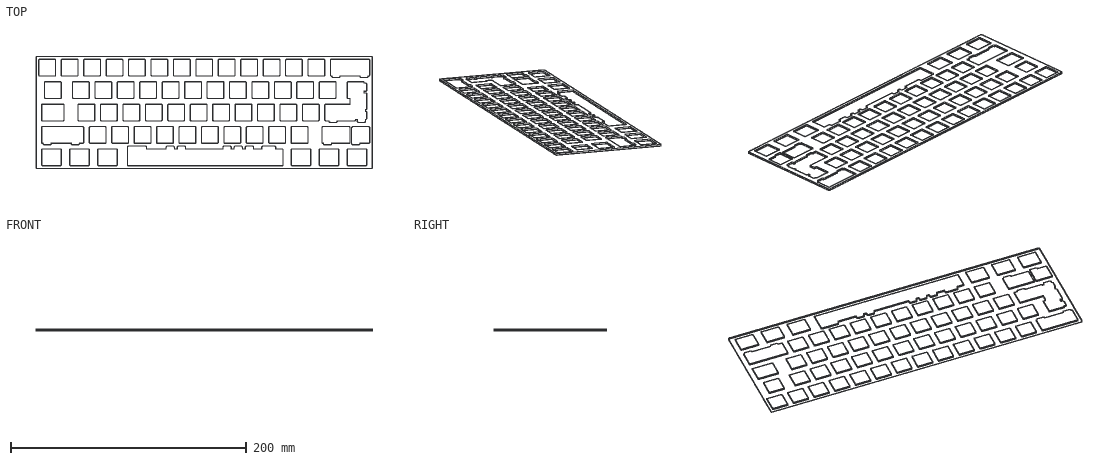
import cadquery as cq

length = 285.8
columns = 15
rows = 5
unit = length / columns
width = rows * unit
thickness = 1.5
plate_corner = 1.0

switch = 14.0
opening_corner = 0.5
pocket_corner = 1.0
pocket_width = 7.0
pocket_depth = 1.3
stabilizer_offset = 12.0

tall_enter_column = 14.375
tall_enter_row = 1.5
upper_enter_column = 14.25

space_left = -65.2
space_right = 67.0
space_pocket_depth = 2.5
space_pockets = [-29.0, -19.5, 19.5, 29.0, 38.3]
space_end_pockets = [(space_left, -49.1), (49.0, 60.5)]


def key_x(column):
    """X of a place measured in key units from the left edge."""
    return column * unit - length / 2


def row_y(row):
    """Y of the center line of a row; row 0 is at the back."""
    return width / 2 - (row + 0.5) * unit


def opening(x_min, x_max, y_min, y_max, corner=opening_corner):
    """Rounded rectangular cutter through the plate."""
    return (
        cq.Workplane("XY")
        .center((x_min + x_max) / 2, (y_min + y_max) / 2)
        .rect(x_max - x_min, y_max - y_min)
        .extrude(thickness)
        .edges("|Z")
        .fillet(corner)
    )


def switch_opening(first, last, row):
    """Opening for a switch placed anywhere from column first to column last."""
    y = row_y(row)
    return opening(key_x(first) - switch / 2, key_x(last) + switch / 2, y - switch / 2, y + switch / 2)


def stabilizer_pockets(column, row):
    """Pair of pockets beside a wide key, reaching forward past the switch opening."""
    y = row_y(row)
    pockets = []
    for side in (-1, 1):
        x = key_x(column) + side * stabilizer_offset
        x_min = x - pocket_width / 2
        x_max = x + pocket_width / 2
        y_min = y - switch / 2 - pocket_depth
        pockets.append(opening(x_min, x_max, y_min, y + switch / 2, pocket_corner))
    return pockets


def tall_enter_openings():
    """Switch opening between rows 1 and 2, with its pockets above and below."""
    x_min = key_x(tall_enter_column) - switch / 2
    x_max = key_x(tall_enter_column) + switch / 2
    y = row_y(tall_enter_row)
    pieces = [switch_opening(tall_enter_column, tall_enter_column, tall_enter_row)]
    for side in (-1, 1):
        pocket_y = y + side * stabilizer_offset
        y_min = pocket_y - pocket_width / 2
        y_max = pocket_y + pocket_width / 2
        pieces.append(opening(x_min, x_max, y_min, y_max, pocket_corner))
    passage_right = key_x(upper_enter_column) + switch / 2
    pieces.append(opening(x_min, passage_right, y - stabilizer_offset, y + stabilizer_offset))
    return pieces


def space_bar_openings():
    """Long opening with pockets along its back edge for several bar lengths."""
    bottom = row_y(rows - 1) - switch / 2
    top = row_y(rows - 1) + switch / 2
    pieces = [opening(space_left, space_right, bottom, top)]
    spans = [(x - pocket_width / 2, x + pocket_width / 2) for x in space_pockets]
    for x_min, x_max in spans + space_end_pockets:
        pieces.append(opening(x_min, x_max, bottom, top + space_pocket_depth, pocket_corner))
    return pieces


single_key_runs = [(0, 0.5, 13), (1, 2.0, 12), (2, 2.25, 11), (3, 2.75, 10)]

other_keys = [
    (0, 13.5, 14.5),
    (1, 0.75, 0.75),
    (1, upper_enter_column, upper_enter_column),
    (2, 0.625, 0.875),
    (2, 13.25, 13.875),
    (3, 0.625, 1.75),
    (3, 13.125, 13.625),
    (3, 14.5, 14.5),
    (4, 0.625, 0.75),
    (4, 1.875, 2.0),
    (4, 3.125, 3.25),
    (4, 11.75, 11.875),
    (4, 13.0, 13.125),
    (4, 14.25, 14.375),
]

stabilized_keys = [(14.0, 0), (13.875, 2), (1.125, 3), (13.625, 3)]

cutters = tall_enter_openings() + space_bar_openings()
for row, first, count in single_key_runs:
    for index in range(count):
        cutters.append(switch_opening(first + index, first + index, row))
for row, first, last in other_keys:
    cutters.append(switch_opening(first, last, row))
for column, row in stabilized_keys:
    cutters.extend(stabilizer_pockets(column, row))

result = cq.Workplane("XY").rect(length, width).extrude(thickness).edges("|Z").fillet(plate_corner)
for cutter in cutters:
    result = result.cut(cutter)